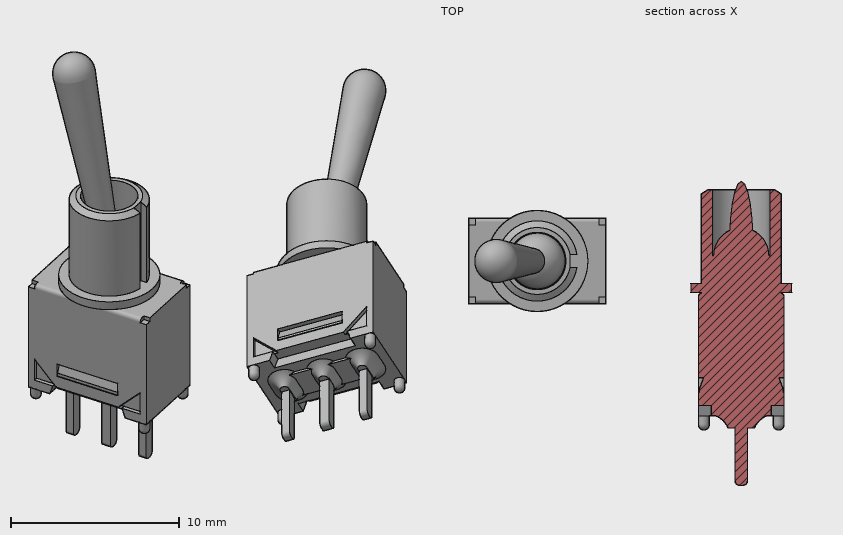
import cadquery as cq
import math


body_length = 8.13
body_width = 5.08
body_height = 7.3
half_length = body_length / 2
half_width = body_width / 2
sheet = 0.25
post_width = 0.42
panel_half_length = half_length - post_width
foot_height = 0.62
foot_top_x = 2.38
foot_bottom_x = 2.6
corner_cut_x = 2.16
underside_recess = 0.75
corner_cut_top = 2.1

latch_length = 4.15
latch_bottom = 1.4
latch_lip_z = 1.6
latch_top = 2.26
latch_depth = 0.3
latch_lip_depth = 0.05

flange_diameter = 6.0
flange_thickness = 0.55
bushing_diameter = 4.76
bushing_height = 6.1
bushing_chamfer_width = 0.4
bushing_chamfer_height = 0.25
bore_diameter = 3.4
keyway_width = 0.76
keyway_floor_radius = 1.95

lever_top = 22.48
pivot_height = 9.5
ball_radius = 1.65
tip_radius = 1.28
root_radius = 0.68
lever_tilt = 11.7

pin_pitch = 2.5
outer_pin_thickness = 0.5
centre_pin_thickness = 0.61
pin_width = 0.75
pin_length = 4.12
pin_tip_radius = 0.3
seal_height = 0.72
seal_top_radius = 1.0
seal_pin_radius = 0.28
seal_half_stretch = 0.5
seal_sag = 0.1
seal_layer_height = 0.16
seal_layer_half_width = 1.0
standoff_diameter = 0.65
standoff_length = 0.84


def front_and_back(cutter):
    """Add the mirror image of a front-side cutter across the XZ plane."""
    return cutter.union(cutter.mirror("XZ"))


def front_prism(points, depth):
    """Prism running inward from the front face, outlined in X and Z."""
    return cq.Workplane("XZ", origin=(0, -half_width + depth, 0)).polyline(points).close().extrude(depth)


def rounded_panel_edge():
    """Waste outside the rounded upper edge of the front panel."""
    edge_y = -half_width
    start_z = body_height - sheet
    middle = sheet * (1 - math.sqrt(0.5))
    return (
        cq.Workplane("YZ", origin=(-panel_half_length, 0, 0))
        .moveTo(edge_y, start_z)
        .threePointArc((edge_y + middle, body_height - middle), (edge_y + sheet, body_height))
        .lineTo(edge_y, body_height)
        .close()
        .extrude(2 * panel_half_length)
    )


def latch_window():
    """Window with a face sloping outward to a narrow lip near its lower edge."""
    edge_y = -half_width
    outline = [
        (edge_y, latch_bottom),
        (edge_y + latch_lip_depth, latch_bottom),
        (edge_y + latch_lip_depth, latch_lip_z),
        (edge_y + latch_depth, latch_top),
        (edge_y, latch_top),
    ]
    return (
        cq.Workplane("YZ", origin=(-latch_length / 2, 0, 0))
        .polyline(outline)
        .close()
        .extrude(latch_length)
    )


def corner_pocket():
    """Shallow triangular pockets above the feet, where the panel corners are cut off."""
    right_corner = [
        (panel_half_length, foot_height),
        (panel_half_length, corner_cut_top),
        (corner_cut_x, foot_height),
    ]
    left_corner = [(-x, z) for x, z in right_corner]
    return front_prism(right_corner, sheet).union(front_prism(left_corner, sheet))


def underside_gap():
    """Gap between the feet, open below the panel's lower edge."""
    outline = [
        (-foot_bottom_x, 0),
        (foot_bottom_x, 0),
        (foot_top_x, foot_height),
        (-foot_top_x, foot_height),
    ]
    return front_prism(outline, underside_recess)


def make_housing():
    housing = cq.Workplane("XY").box(body_length, body_width, body_height, centered=(True, True, False))
    corner_notches = (
        cq.Workplane("XY", origin=(0, 0, body_height - sheet))
        .rect(body_length - post_width, body_width - post_width, forConstruction=True)
        .vertices()
        .rect(post_width, post_width)
        .extrude(sheet)
    )
    housing = housing.cut(corner_notches)
    for cutter in (rounded_panel_edge(), latch_window(), corner_pocket(), underside_gap()):
        housing = housing.cut(front_and_back(cutter))
    return housing


def make_bushing():
    """Flanged bushing with a chamfered rim, a lever bore and a keyway on the +X side."""
    radius = bushing_diameter / 2
    flange_radius = flange_diameter / 2
    flange_top = body_height + flange_thickness
    top = body_height + bushing_height
    profile = [
        (0, body_height),
        (flange_radius, body_height),
        (flange_radius, flange_top),
        (radius, flange_top),
        (radius, top - bushing_chamfer_height),
        (radius - bushing_chamfer_width, top),
        (0, top),
    ]
    bushing = cq.Workplane("XZ").polyline(profile).close().revolve(360, (0, 0), (0, 1))
    bore = (
        cq.Workplane("XY", origin=(0, 0, pivot_height))
        .circle(bore_diameter / 2)
        .extrude(top - pivot_height)
    )
    keyway = cq.Workplane("XY").box(
        radius, keyway_width, top - flange_top, centered=(False, True, False)
    ).translate((keyway_floor_radius, 0, flange_top))
    return bushing.cut(bore).cut(keyway)


def make_lever():
    """Tapered lever with a round tip, tilted about the ball at its pivot."""
    tilt = math.radians(lever_tilt)
    tip_distance = (lever_top - tip_radius - pivot_height) / math.cos(tilt)
    profile = (
        cq.Workplane("XZ")
        .lineTo(root_radius, 0)
        .lineTo(tip_radius, tip_distance)
        .threePointArc(
            (tip_radius * math.sqrt(0.5), tip_distance + tip_radius * math.sqrt(0.5)),
            (0, tip_distance + tip_radius),
        )
        .close()
    )
    stick = profile.revolve(360, (0, 0), (0, 1)).rotate((0, 0, 0), (0, 1, 0), -lever_tilt)
    ball = cq.Workplane("XY").sphere(ball_radius)
    return ball.union(stick).translate((0, 0, pivot_height))


def make_pin(x, thickness):
    """Flat terminal with rounded end corners."""
    pin = cq.Workplane("XY").box(thickness, pin_width, pin_length).edges("|X and <Z").fillet(pin_tip_radius)
    return pin.translate((x, 0, -pin_length / 2))


def seal_profile(workplane):
    """Half outline of a sealing mound, concave toward the pin."""
    rise = seal_height
    run = seal_top_radius - seal_pin_radius
    chord = math.hypot(rise, run)
    middle_r = (seal_top_radius + seal_pin_radius) / 2 - seal_sag * rise / chord
    middle_z = -rise / 2 + seal_sag * run / chord
    return (
        workplane.lineTo(seal_top_radius, 0)
        .threePointArc((middle_r, middle_z), (seal_pin_radius, -rise))
        .lineTo(0, -rise)
        .close()
    )


def make_seal(x):
    """Mound of sealing compound around one pin, stretched along Y."""
    round_end = seal_profile(cq.Workplane("XZ")).revolve(360, (0, 0), (0, 1))
    half_run = seal_profile(cq.Workplane("XZ", origin=(0, seal_half_stretch, 0))).extrude(
        2 * seal_half_stretch
    )
    mound = half_run.union(half_run.mirror("YZ"))
    for y in (-seal_half_stretch, seal_half_stretch):
        mound = mound.union(round_end.translate((0, y, 0)))
    return mound.translate((x, 0, 0))


def make_seal_layer():
    """Thin layer of sealing compound joining the mounds."""
    return cq.Workplane("XY").box(
        2 * pin_pitch, 2 * seal_layer_half_width, seal_layer_height
    ).translate((0, 0, -seal_layer_height / 2))


def make_standoffs():
    """Round-ended pegs under the four housing corners."""
    radius = standoff_diameter / 2
    peg_ends = (
        cq.Workplane("XY")
        .rect(body_length - standoff_diameter, body_width - standoff_diameter, forConstruction=True)
        .vertices()
    )
    straight_length = standoff_length - radius
    pegs = peg_ends.circle(radius).extrude(-straight_length)
    tips = peg_ends.sphere(radius).translate((0, 0, -straight_length))
    return pegs.union(tips)


result = make_housing().union(make_bushing()).union(make_lever())
result = result.union(make_seal_layer()).union(make_standoffs())
pins = (
    (-pin_pitch, outer_pin_thickness),
    (0, centre_pin_thickness),
    (pin_pitch, outer_pin_thickness),
)
for pin_x, pin_thickness in pins:
    result = result.union(make_seal(pin_x)).union(make_pin(pin_x, pin_thickness))